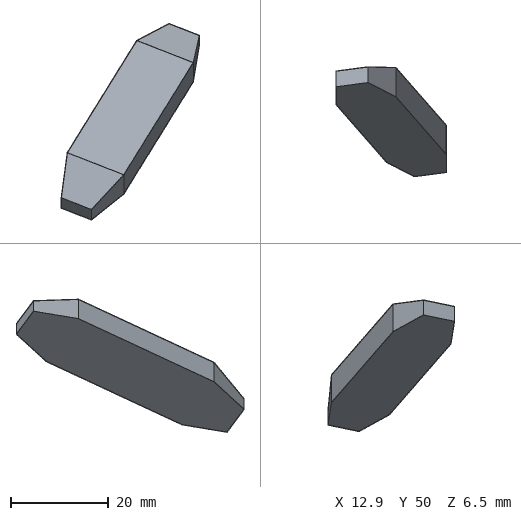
import cadquery as cq

width = 12.9
length = 50.0
height = 6.5

taper_length = 8.9
taper_inset = 3.0

half_length = length / 2
half_width = width / 2
body_half_length = half_length - taper_length
tip_half_width = half_width - taper_inset
tip_height = height - taper_inset


def plan_prism():
    """Full-height bar whose sides narrow towards both ends."""
    outline = [
        (-tip_half_width, -half_length),
        (tip_half_width, -half_length),
        (half_width, -body_half_length),
        (half_width, body_half_length),
        (tip_half_width, half_length),
        (-tip_half_width, half_length),
        (-half_width, body_half_length),
        (-half_width, -body_half_length),
    ]
    return cq.Workplane("XY").polyline(outline).close().extrude(height)


def side_prism():
    """Full-width bar with a flat base whose top slopes down at both ends."""
    profile = [
        (-half_length, 0),
        (half_length, 0),
        (half_length, tip_height),
        (body_half_length, height),
        (-body_half_length, height),
        (-half_length, tip_height),
    ]
    return cq.Workplane("YZ").polyline(profile).close().extrude(half_width, both=True)


result = plan_prism().intersect(side_prism())